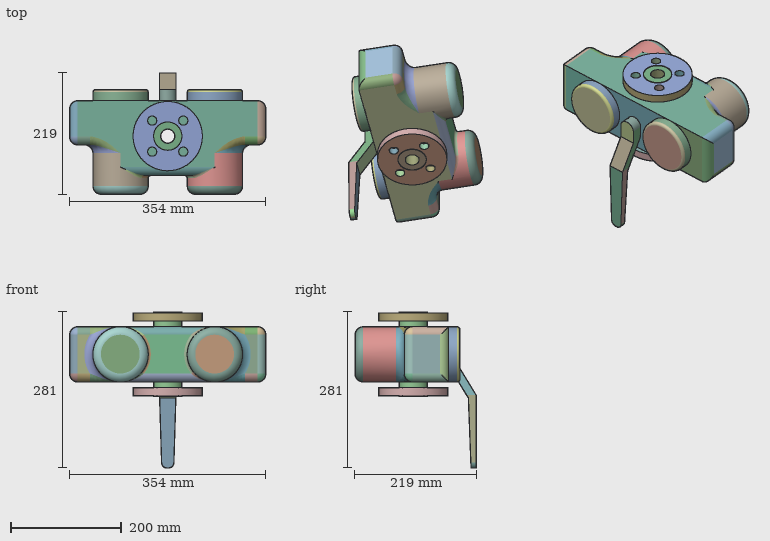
import cadquery as cq
import math

HOUSING_LENGTH = 354.0
HOUSING_HEIGHT = 100.0
BACK_Y = 64.0
WING_FRONT_Y = -16.0
CENTRE_FRONT_Y = -71.0
EDGE_RADIUS = 15.0

DRUM_SPACING = 170.0
DRUM_RADIUS = HOUSING_HEIGHT / 2
DRUM_FRONT_Y = -105.0
DRUM_BACK_Y = 84.0
DRUM_BACK_RADIUS = 5.0
CENTRE_BLEND_RADIUS = 5.0

PIPE_DIAMETER = 51.0
PIPE_LENGTH = 152.0
BORE_DIAMETER = 25.0
FLANGE_DIAMETER = 125.0
FLANGE_THICKNESS = 15.0
RAISED_FACE = 1.0
BOLT_SPACING = 56.0
BOLT_HOLE_DIAMETER = 16.5

HANDLE_WIDTH = 30.0
HANDLE_THICKNESS = 15.0
HANDLE_BACK_Y = 114.0
BEND_TOP_Z = -25.0
BEND_BOTTOM_Z = -74.0
HANDLE_TIP_Z = -205.0
TIP_WIDTH = 22.0
TIP_THICKNESS = 10.0
TIP_RADIUS = 10.0

HALF_HEIGHT = HOUSING_HEIGHT / 2
DRUM_X = DRUM_SPACING / 2

SELECTION_MARGIN = 1.0


def make_left_wing():
    """Left end of the housing, with a concave blend towards the drum and rounded edges."""
    length = HOUSING_LENGTH / 2 - DRUM_X
    depth = BACK_Y - WING_FRONT_Y
    block = (
        cq.Workplane("XY")
        .box(length, depth, HOUSING_HEIGHT, centered=(False, False, True))
        .translate((-HOUSING_LENGTH / 2, WING_FRONT_Y, 0))
        .edges("|Z and <X and <Y")
        .fillet(EDGE_RADIUS)
    )

    outer_radius = DRUM_RADIUS + EDGE_RADIUS
    blend_front_y = WING_FRONT_Y - EDGE_RADIUS
    diagonal = EDGE_RADIUS * math.sqrt(0.5)
    ring = (
        cq.Workplane("XY")
        .moveTo(0, BACK_Y)
        .lineTo(outer_radius, BACK_Y)
        .lineTo(outer_radius, WING_FRONT_Y)
        .threePointArc(
            (outer_radius - diagonal, blend_front_y + diagonal),
            (DRUM_RADIUS, blend_front_y),
        )
        .lineTo(0, blend_front_y)
        .close()
        .revolve(360, (0, 0, 0), (0, 1, 0))
    )
    left_half = (
        cq.Workplane("XY")
        .box(outer_radius, BACK_Y - blend_front_y, HOUSING_HEIGHT, centered=(False, False, True))
        .translate((-outer_radius, blend_front_y, 0))
    )
    wing = block.union(ring.intersect(left_half).translate((-DRUM_X, 0, 0)))

    rim_zone = cq.selectors.BoxSelector(
        (-HOUSING_LENGTH, BACK_Y - EDGE_RADIUS, -HOUSING_HEIGHT),
        (-DRUM_X - SELECTION_MARGIN, DRUM_FRONT_Y, HOUSING_HEIGHT),
    )
    rims = wing.faces("<Z or >Z").edges(rim_zone)
    back_corner = wing.faces(">Y").edges("|Z and <X")
    return rims.add(back_corner).fillet(EDGE_RADIUS)


def make_drums():
    drum = (
        cq.Workplane("XZ", origin=(0, DRUM_BACK_Y, 0))
        .circle(DRUM_RADIUS)
        .extrude(DRUM_BACK_Y - DRUM_FRONT_Y)
    )
    return [drum.translate((x, 0, 0)) for x in (-DRUM_X, DRUM_X)]


def make_housing():
    depth = BACK_Y - CENTRE_FRONT_Y
    housing = (
        cq.Workplane("XY")
        .box(DRUM_SPACING, depth, HOUSING_HEIGHT, centered=(True, False, True))
        .translate((0, CENTRE_FRONT_Y, 0))
        .faces("<Y")
        .edges("|X")
        .fillet(EDGE_RADIUS)
    )
    for drum in make_drums():
        housing = housing.union(drum)

    blend_zone = cq.selectors.BoxSelector(
        (SELECTION_MARGIN - DRUM_X, CENTRE_FRONT_Y - SELECTION_MARGIN, -HOUSING_HEIGHT),
        (DRUM_X - SELECTION_MARGIN, CENTRE_FRONT_Y + EDGE_RADIUS - SELECTION_MARGIN, HOUSING_HEIGHT),
    )
    housing = housing.edges(blend_zone).edges("not |X").fillet(CENTRE_BLEND_RADIUS)
    housing = housing.faces("<Y").edges().fillet(EDGE_RADIUS)
    housing = housing.faces(">Y").edges().fillet(DRUM_BACK_RADIUS)

    wing = make_left_wing()
    housing = housing.union(wing).union(wing.mirror("YZ"))
    pipe_hole = cq.Workplane("XY").circle(PIPE_DIAMETER / 2).extrude(HALF_HEIGHT, both=True)
    return housing.cut(pipe_hole)


def make_flange(bottom_z):
    return (
        cq.Workplane("XY", origin=(0, 0, bottom_z))
        .circle(FLANGE_DIAMETER / 2)
        .extrude(FLANGE_THICKNESS)
        .faces(">Z")
        .workplane()
        .rect(BOLT_SPACING, BOLT_SPACING, forConstruction=True)
        .vertices()
        .hole(BOLT_HOLE_DIAMETER)
    )


def make_flanged_pipe():
    pipe = cq.Workplane("XY").circle(PIPE_DIAMETER / 2).extrude(PIPE_LENGTH / 2, both=True)
    flange_top_z = PIPE_LENGTH / 2 - RAISED_FACE
    for bottom_z in (-flange_top_z, flange_top_z - FLANGE_THICKNESS):
        pipe = pipe.union(make_flange(bottom_z))
    bore = cq.Workplane("XY").circle(BORE_DIAMETER / 2).extrude(PIPE_LENGTH / 2, both=True)
    return pipe.cut(bore)


def make_handle():
    """Round-topped hub on the housing back, a sloping neck and a tapered grip."""
    half_width = HANDLE_WIDTH / 2

    run = HANDLE_BACK_Y - DRUM_BACK_Y
    drop = BEND_TOP_Z - BEND_BOTTOM_Z
    slope = drop / run
    neck_depth = HANDLE_THICKNESS * math.hypot(run, drop) / drop
    neck_front_y = HANDLE_BACK_Y - neck_depth

    taper = (HANDLE_THICKNESS - TIP_THICKNESS) / (BEND_BOTTOM_Z - HANDLE_TIP_Z)
    heel_drop = (neck_depth - HANDLE_THICKNESS) / (1 / slope - taper)
    side_outline = (
        cq.Workplane("YZ")
        .moveTo(BACK_Y, half_width)
        .lineTo(DRUM_BACK_Y, half_width)
        .lineTo(DRUM_BACK_Y, BEND_TOP_Z)
        .lineTo(HANDLE_BACK_Y, BEND_BOTTOM_Z)
        .lineTo(HANDLE_BACK_Y, HANDLE_TIP_Z)
        .lineTo(HANDLE_BACK_Y - TIP_THICKNESS, HANDLE_TIP_Z)
        .lineTo(neck_front_y + heel_drop / slope, BEND_BOTTOM_Z - heel_drop)
        .lineTo(BACK_Y, BEND_BOTTOM_Z + (neck_front_y - BACK_Y) * slope)
        .close()
        .extrude(half_width, both=True)
    )
    front_outline = (
        cq.Workplane("XZ", origin=(0, HANDLE_BACK_Y, 0))
        .moveTo(-half_width, 0)
        .threePointArc((0, half_width), (half_width, 0))
        .lineTo(half_width, BEND_BOTTOM_Z)
        .lineTo(TIP_WIDTH / 2, HANDLE_TIP_Z)
        .lineTo(-TIP_WIDTH / 2, HANDLE_TIP_Z)
        .lineTo(-half_width, BEND_BOTTOM_Z)
        .close()
        .extrude(HANDLE_BACK_Y - BACK_Y)
        .faces("<Z")
        .edges("|Y")
        .fillet(TIP_RADIUS)
    )
    return side_outline.intersect(front_outline)


housing = make_housing()
flanged_pipe = make_flanged_pipe()
handle = make_handle()

result = cq.Compound.makeCompound([housing.val(), flanged_pipe.val(), handle.val()])